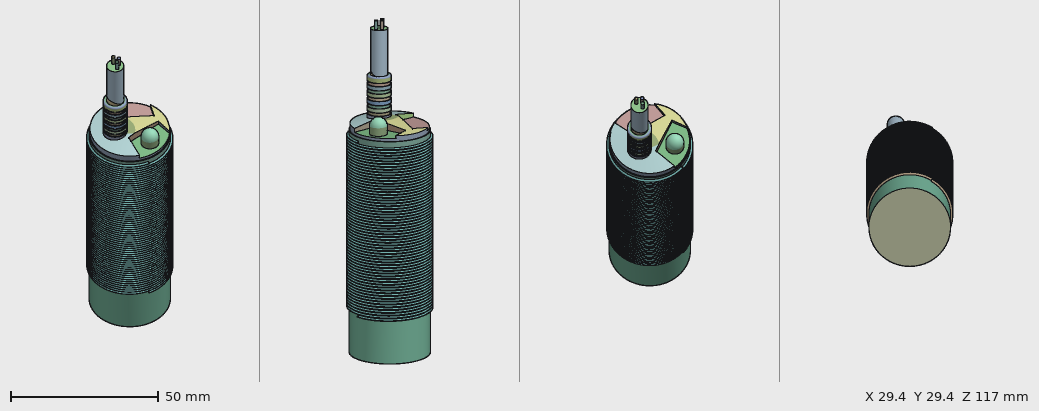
import cadquery as cq
import math

BODY_R = 13.9
HOUSING_H = 79.2
THREAD_R = 14.68
THREAD_PITCH = 1.0
THREAD_BOTTOM = 15.5
THREAD_TURNS = 62
THREAD_ROOT_WIDTH = 0.92
THREAD_CREST_WIDTH = 0.1
THREAD_SINK = 0.05

CAP_R = 13.53
CAP_TOP = 83.05
CONE_ANGLE = 9.0
BARREL_FLAT_R = 4.3
CABLE_FLAT_R = 6.9
CABLE_Y = -5.53
WING_FLOOR = 80.25
WING_FRONT_Y = -2.95
WING_FRONT_X = 5.0
WING_BACK_X = 1.5
WING_BACK_Y = 10.1
WING_RIM_X = 6.9
WING_RIM_Y = 11.4

BOOT_R = 4.15
BOOT_TOP = 97.6
BOOT_TOP_FILLET = 0.6
GROOVE_R = 3.8
GROOVE_WIDTH = 1.15
GROOVE_PITCH = 2.64
GROOVE_COUNT = 5
FIRST_GROOVE_TOP = 95.5
BORE_BOTTOM = CAP_TOP

LAMP_R = 3.08
LAMP_X = 8.1
LAMP_Y = 3.55

CABLE_R = 2.95
CABLE_TOP = 114.0
CABLE_CUT_TOP = 99.7
CABLE_CUT_SLOPE = 0.5
WIRE_R = 0.6
WIRE_TOP = 117.0
WIRE_CIRCLE_R = 1.4
WIRE_ANGLES = (0, 90, 180)


def rod(radius, bottom, top, x=0.0, y=0.0):
    """Upright cylinder between two heights."""
    return cq.Workplane("XY", origin=(x, y, bottom)).circle(radius).extrude(top - bottom)


def make_thread():
    """One helical ridge, swept along the barrel."""
    root_r = BODY_R - THREAD_SINK
    height = THREAD_PITCH * THREAD_TURNS
    path = cq.Wire.makeHelix(THREAD_PITCH, height, root_r).translate(cq.Vector(0, 0, THREAD_BOTTOM))
    half_root = THREAD_ROOT_WIDTH / 2
    half_crest = THREAD_CREST_WIDTH / 2
    profile = cq.Workplane("XZ").polyline([
        (root_r, THREAD_BOTTOM - half_root),
        (THREAD_R, THREAD_BOTTOM - half_crest),
        (THREAD_R, THREAD_BOTTOM + half_crest),
        (root_r, THREAD_BOTTOM + half_root),
    ]).close()
    return profile.sweep(cq.Workplane(path), isFrenet=True)


def make_housing():
    return rod(BODY_R, 0, HOUSING_H).union(make_thread())


def truncated_cone(flat_r, y):
    """Upright block whose top falls away in a cone around a flat of the given radius."""
    reach = 2 * BODY_R
    drop = (reach - flat_r) * math.tan(math.radians(CONE_ANGLE))
    outline = cq.Workplane("XZ").polyline([
        (0, HOUSING_H),
        (reach, HOUSING_H),
        (reach, CAP_TOP - drop),
        (flat_r, CAP_TOP),
        (0, CAP_TOP),
    ]).close()
    return outline.revolve(360, (0, 0, 0), (0, 1, 0)).translate((0, y, 0))


def wing_recess(side):
    """Recess open to the rim, on the +X (side = 1) or -X (side = -1) half of the cap."""
    beyond_x = 2 * CAP_R
    rim_slope = (WING_RIM_Y - WING_BACK_Y) / (WING_RIM_X - WING_BACK_X)
    beyond_y = WING_BACK_Y + rim_slope * (beyond_x - WING_BACK_X)
    outline = cq.Workplane("XY", origin=(0, 0, WING_FLOOR)).polyline([
        (side * WING_FRONT_X, WING_FRONT_Y),
        (side * beyond_x, WING_FRONT_Y),
        (side * beyond_x, beyond_y),
        (side * WING_BACK_X, WING_BACK_Y),
    ]).close()
    return outline.extrude(CAP_TOP - WING_FLOOR)


def make_boot():
    boot = rod(BOOT_R, WING_FLOOR, BOOT_TOP, y=CABLE_Y).faces(">Z").edges().fillet(BOOT_TOP_FILLET)
    for index in range(GROOVE_COUNT):
        top = FIRST_GROOVE_TOP - index * GROOVE_PITCH
        ring = rod(2 * BOOT_R, top - GROOVE_WIDTH, top, y=CABLE_Y)
        boot = boot.cut(ring.cut(rod(GROOVE_R, top - GROOVE_WIDTH, top, y=CABLE_Y)))
    return boot


def make_cap():
    cap = rod(CAP_R, HOUSING_H, CAP_TOP)
    cap = cap.intersect(truncated_cone(BARREL_FLAT_R, 0))
    cap = cap.intersect(truncated_cone(CABLE_FLAT_R, CABLE_Y))
    for side in (-1, 1):
        cap = cap.cut(wing_recess(side))
    cap = cap.union(make_boot())
    return cap.cut(rod(CABLE_R, BORE_BOTTOM, BOOT_TOP, y=CABLE_Y))


def make_lamp():
    dome = cq.Workplane("XY").sphere(LAMP_R).translate((LAMP_X, LAMP_Y, CAP_TOP))
    upper_half = rod(2 * LAMP_R, CAP_TOP, CAP_TOP + 2 * LAMP_R, LAMP_X, LAMP_Y)
    return rod(LAMP_R, WING_FLOOR, CAP_TOP, LAMP_X, LAMP_Y).union(dome.intersect(upper_half))


def make_cable():
    front_y = CABLE_Y - CABLE_R
    back_y = CABLE_Y + CABLE_R
    cut_bottom = CABLE_CUT_TOP - CABLE_CUT_SLOPE * (back_y - front_y)
    side_outline = cq.Workplane("YZ", origin=(-CABLE_R, 0, 0)).polyline([
        (front_y, CABLE_CUT_TOP),
        (back_y, cut_bottom),
        (back_y, CABLE_TOP),
        (front_y, CABLE_TOP),
    ]).close()
    cable = side_outline.extrude(2 * CABLE_R).intersect(rod(CABLE_R, cut_bottom, CABLE_TOP, y=CABLE_Y))
    for angle in WIRE_ANGLES:
        x = WIRE_CIRCLE_R * math.cos(math.radians(angle))
        y = CABLE_Y + WIRE_CIRCLE_R * math.sin(math.radians(angle))
        cable = cable.union(rod(WIRE_R, CABLE_TOP, WIRE_TOP, x, y))
    return cable


housing = make_housing()
cap = make_cap()
lamp = make_lamp()
cable = make_cable()

result = cq.Compound.makeCompound([
    *housing.solids().vals(),
    *cap.solids().vals(),
    *lamp.solids().vals(),
    *cable.solids().vals(),
])